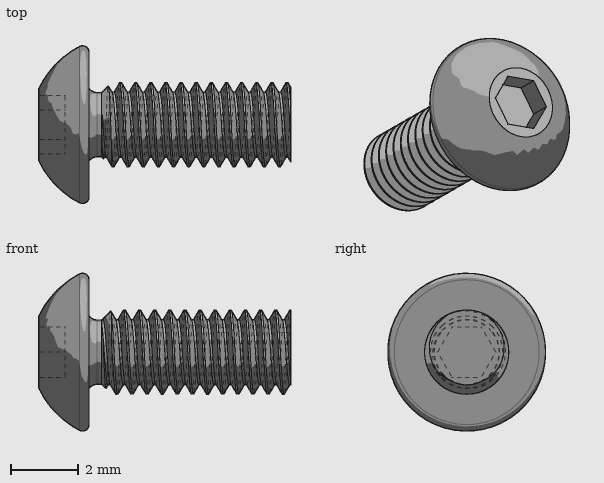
import cadquery as cq
import math

screw_length = 7.5

head_height = 1.5
head_radius = 4.7 / 2
face_radius = 1.07
dome_mid_x = 0.705
dome_mid_radius = 1.99
dome_end_x = 1.21
rim_round = 0.195

socket_flats = 1.5
socket_depth = 0.78

neck_radius = 1.92 / 2
neck_flare_length = 0.24
neck_flare_height = 0.12
neck_end_x = 1.875

pitch = 0.45
major_radius = 2.505 / 2
root_radius = 0.975
crest_width = pitch / 8
flank_angle = math.radians(30)
embed_depth = 0.015
trim_clearance = 0.075


def make_head():
    rim_center_x = head_height - rim_round
    rim_center_radius = head_radius - rim_round
    dome_end_radius = rim_center_radius + math.sqrt(rim_round**2 - (rim_center_x - dome_end_x) ** 2)
    profile = (
        cq.Workplane("XY")
        .lineTo(0, face_radius)
        .threePointArc((dome_mid_x, dome_mid_radius), (dome_end_x, dome_end_radius))
        .threePointArc((rim_center_x, head_radius), (head_height, rim_center_radius))
        .lineTo(head_height, 0)
        .close()
    )
    return profile.revolve(360, (0, 0, 0), (1, 0, 0))


def make_neck():
    flare_end_x = head_height + neck_flare_length
    profile = (
        cq.Workplane("XY")
        .moveTo(head_height, 0)
        .lineTo(neck_end_x, 0)
        .lineTo(neck_end_x, neck_radius)
        .lineTo(flare_end_x, neck_radius)
        .tangentArcPoint((head_height, neck_radius + neck_flare_height), relative=False)
        .close()
    )
    return profile.revolve(360, (0, 0, 0), (1, 0, 0))


def make_thread():
    turns = math.ceil((screw_length - neck_end_x) / pitch) + 2
    start_x = screw_length + 1.5 * pitch - turns * pitch
    base_radius = root_radius - embed_depth
    half_crest = crest_width / 2
    half_base = half_crest + (major_radius - base_radius) * math.tan(flank_angle)
    path = cq.Wire.makeHelix(pitch, turns * pitch, base_radius)
    ridge = (
        cq.Workplane("XZ")
        .polyline([
            (base_radius, -half_base),
            (major_radius, -half_crest),
            (major_radius, half_crest),
            (base_radius, half_base),
        ])
        .close()
        .sweep(cq.Workplane(path), isFrenet=True)
        .rotate((0, 0, 0), (0, 1, 0), 90)
        .translate((start_x, 0, 0))
    )
    envelope_radius = major_radius + trim_clearance
    lead_in_end_x = neck_end_x + envelope_radius - neck_radius
    envelope = (
        cq.Workplane("XY")
        .moveTo(neck_end_x, 0)
        .lineTo(neck_end_x, neck_radius)
        .lineTo(lead_in_end_x, envelope_radius)
        .lineTo(screw_length, envelope_radius)
        .lineTo(screw_length, 0)
        .close()
        .revolve(360, (0, 0, 0), (1, 0, 0))
    )
    core = (
        cq.Workplane("YZ", origin=(start_x - pitch, 0, 0))
        .circle(root_radius)
        .extrude((turns + 2) * pitch)
    )
    return core.union(ridge).intersect(envelope)


def make_socket():
    corner_diameter = socket_flats / math.cos(math.radians(30))
    return cq.Workplane("YZ").polygon(6, corner_diameter).extrude(socket_depth)


result = make_head().cut(make_socket()).union(make_neck()).union(make_thread())